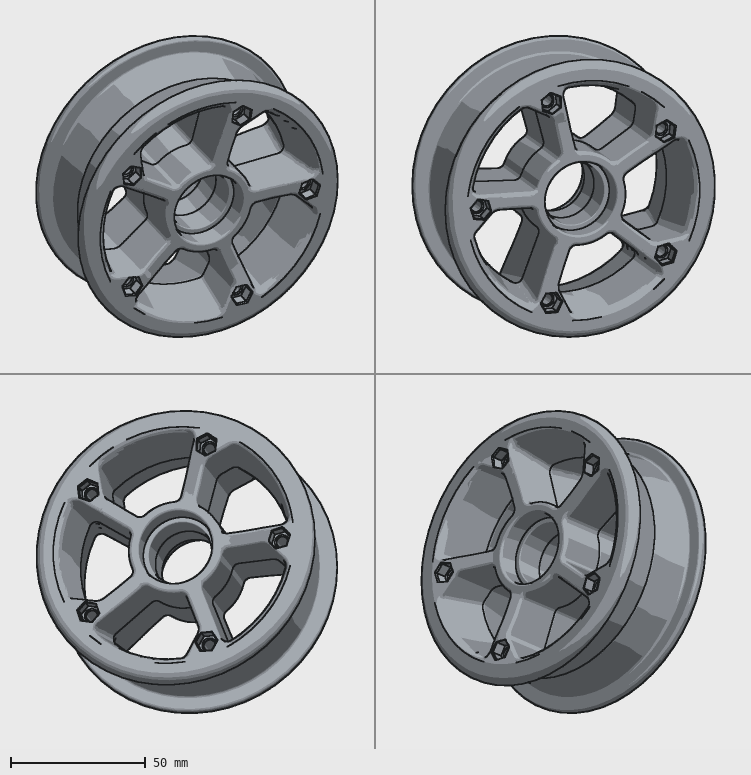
import cadquery as cq
import math


half_width = 21.78
outer_radius = 53.0
flange_thickness = 5.1
flange_outer_round = 3.4
flange_inner_round = 1.1
groove_edge_radius = 47.0
groove_mid_radius = 45.2
groove_root_fillet = 1.0
rim_face_inner_radius = 45.9
flare_radius = 3.4
flare_circle_radius = 46.7
flare_angle = 40.0
rim_wall_angle = 9.3
parting_fillet = 0.5

hub_radius = 18.0
hub_recess = 2.49
bore_diameter = 24.0
bearing_diameter = 28.0
bearing_depth = 8.2
bearing_mouth_round = 1.0
bore_edge_round = 0.4

spoke_count = 5
spoke_width = 6.4
spoke_lead_angle = 3.2
flank_angle = 45.0
boss_radius = 4.9
window_corner_radius = 2.6
flank_corner_radius = 4.2
web_edge_round = 1.5

bolt_circle_radius = 40.12
bolt_hole_diameter = 4.3
nut_flats = 7.0
nut_mouth_flats = 7.8
nut_pocket_depth = 5.3
nut_mouth_depth = 0.7
hole_edge_chamfer = 0.5
nut_lead_angle = 12.0

pitch_angle = 360.0 / spoke_count
hub_face = hub_recess - half_width
bearing_floor = hub_face + bearing_depth
clear = 1.1


def polar(radius, degrees):
    """Point at a radius and an angle around the wheel axis."""
    angle = math.radians(degrees)
    return (radius * math.cos(angle), radius * math.sin(angle))


def turned(points, degrees):
    """Points rotated around the wheel axis."""
    c, s = polar(1.0, degrees)
    return [(c * u - s * v, s * u + c * v) for u, v in points]


def line_crossing(p, p_dir, q, q_dir):
    """Point where two lines cross, each given by a point and a direction."""
    cross = p_dir[0] * q_dir[1] - p_dir[1] * q_dir[0]
    t = ((q[0] - p[0]) * q_dir[1] - (q[1] - p[1]) * q_dir[0]) / cross
    return (p[0] + t * p_dir[0], p[1] + t * p_dir[1])


def revolve_profile(sketch):
    """Turn a closed (x, radius) profile around the X axis."""
    return sketch.close().revolve(360, (0, 0, 0), (1, 0, 0))


def turned_blank():
    """Half wheel without windows: rim, dished web and hub in one turned profile."""
    outer_face = -half_width
    flange_back = outer_face + flange_thickness
    dish_mid = ((rim_face_inner_radius + hub_radius) / 2, outer_face + hub_recess / 2)
    run = rim_face_inner_radius - dish_mid[0]
    drop = hub_recess / 2
    arc_radius = (run**2 + drop**2) / (2 * drop)
    quarter = math.asin(run / arc_radius) / 2
    arc_run = arc_radius * math.sin(quarter)
    arc_drop = arc_radius * (1 - math.cos(quarter))
    sketch = (
        cq.Workplane("XY")
        .moveTo(0, 0)
        .lineTo(hub_face, 0)
        .lineTo(hub_face, hub_radius)
        .threePointArc((hub_face - arc_drop, hub_radius + arc_run), (dish_mid[1], dish_mid[0]))
        .threePointArc(
            (outer_face + arc_drop, rim_face_inner_radius - arc_run),
            (outer_face, rim_face_inner_radius),
        )
        .lineTo(outer_face, outer_radius - flange_outer_round)
        .tangentArcPoint((outer_face + flange_outer_round, outer_radius), relative=False)
        .lineTo(flange_back - flange_inner_round, outer_radius)
        .tangentArcPoint((flange_back, outer_radius - flange_inner_round), relative=False)
        .lineTo(flange_back, groove_edge_radius)
        .lineTo(0, groove_mid_radius)
    )
    blank = revolve_profile(sketch)
    root = cq.selectors.NearestToPointSelector((flange_back, 0, groove_edge_radius))
    return blank.faces(root).edges("<X").fillet(groove_root_fillet)


def rim_cavity():
    """Turned space inside the rim wall: a cone that flares out to the rim face."""
    centre_x = flare_radius - half_width
    wall = math.radians(rim_wall_angle)
    steepest = math.radians(flare_angle)

    def flare_point(angle):
        return (
            centre_x - flare_radius * math.sin(angle),
            flare_circle_radius - flare_radius * math.cos(angle),
        )

    start = flare_point(wall)
    end = flare_point(steepest)
    front_x = -half_width - clear
    sketch = (
        cq.Workplane("XY")
        .moveTo(0, 0)
        .lineTo(0, start[1] + start[0] * math.tan(wall))
        .lineTo(*start)
        .threePointArc(flare_point((wall + steepest) / 2), end)
        .lineTo(front_x, end[1] + (end[0] - front_x) * math.tan(steepest))
        .lineTo(front_x, 0)
    )
    return revolve_profile(sketch)


def window_plug():
    """Solid that fills one window, between the spoke of bolt 0 and the spoke of bolt 1."""
    half_spoke = spoke_width / 2
    far = outer_radius
    hub_reach = math.sqrt(hub_radius**2 - half_spoke**2)
    spoke_side = turned([(hub_reach, half_spoke), (far, half_spoke)], spoke_lead_angle)
    next_side = turned([(hub_reach, -half_spoke), (far, -half_spoke)], spoke_lead_angle)
    spoke_dir = polar(1.0, spoke_lead_angle)
    flank_dir = polar(1.0, -flank_angle)
    offset = polar(boss_radius, -flank_angle - 90)
    flank_foot = (bolt_circle_radius + offset[0], offset[1])
    elbow = line_crossing(next_side[0], spoke_dir, flank_foot, flank_dir)
    flank_end = (elbow[0] + far * flank_dir[0] / 2, elbow[1] + far * flank_dir[1] / 2)
    next_hub, next_elbow, next_end = turned([next_side[0], elbow, flank_end], pitch_angle)
    far_mid = polar(2 * far, pitch_angle / 2)
    hub_mid = polar(hub_radius, spoke_lead_angle + pitch_angle / 2)

    prism = (
        cq.Workplane("YZ", origin=(-half_width - clear, 0, 0))
        .moveTo(*spoke_side[0])
        .lineTo(*spoke_side[1])
        .lineTo(*far_mid)
        .lineTo(*next_end)
        .lineTo(*next_elbow)
        .lineTo(*next_hub)
        .threePointArc(hub_mid, spoke_side[0])
        .close()
        .extrude(half_width + clear)
    )

    def near(point):
        return cq.selectors.BoxSelector(
            (-2 * half_width, point[0] - clear, point[1] - clear),
            (half_width, point[0] + clear, point[1] + clear),
        )

    prism = prism.edges("|X").edges(near(spoke_side[0]) + near(next_hub)).fillet(window_corner_radius)
    prism = prism.edges("|X").edges(near(next_elbow)).fillet(flank_corner_radius)
    plug = prism.intersect(rim_cavity())
    cavity_corners = [
        edge
        for edge in plug.edges("not |X").vals()
        if abs(edge.startPoint().x - edge.endPoint().x) > 0.1
    ]
    return plug.newObject(cavity_corners).fillet(window_corner_radius)


def centre_radius(face):
    """Distance from the wheel axis to the centre of a face."""
    centre = face.Center()
    return math.hypot(centre.y, centre.z)


def cut_windows(blank):
    """Cut every window, then round its edges on the dished web and at the mating plane."""
    plug = window_plug()
    half = blank
    for index in range(spoke_count):
        half = half.cut(plug.rotate((0, 0, 0), (1, 0, 0), index * pitch_angle))

    web_edges = {}
    wall_keys = set()
    for face in half.faces().vals():
        if face.normalAt().x < -0.95:
            web_edges.update({edge.hashCode(): edge for edge in face.Edges()})
        elif hub_radius - clear < centre_radius(face) < rim_face_inner_radius:
            wall_keys.update(edge.hashCode() for edge in face.Edges())
    shared = [edge for key, edge in web_edges.items() if key in wall_keys]
    half = half.newObject(shared).fillet(web_edge_round)
    return half.faces(">X").edges().fillet(parting_fillet)


def bore_tool():
    """Turned space for the bearing, the lip behind it and the through bore."""
    bore = bore_diameter / 2
    bearing = bearing_diameter / 2
    sketch = (
        cq.Workplane("XY")
        .moveTo(clear, 0)
        .lineTo(clear, bore)
        .lineTo(bearing_floor + bore_edge_round, bore)
        .tangentArcPoint((bearing_floor, bore + bore_edge_round), relative=False)
        .lineTo(bearing_floor, bearing)
        .lineTo(hub_face + bearing_mouth_round, bearing)
        .tangentArcPoint((hub_face, bearing + bearing_mouth_round), relative=False)
        .lineTo(hub_face - clear, bearing + bearing_mouth_round)
        .lineTo(hub_face - clear, 0)
    )
    return revolve_profile(sketch)


def hexagon(x, flats):
    """Hexagon outline at a station on the wheel axis, centred on bolt 0."""
    corners = flats / math.cos(math.radians(30))
    return (
        cq.Workplane("YZ", origin=(x, bolt_circle_radius, 0))
        .transformed(rotate=(0, 0, nut_lead_angle))
        .polygon(6, corners)
    )


def bolt_tool():
    """Bolt hole with its nut pocket and edge chamfers, for bolt 0."""
    pocket_floor = nut_pocket_depth - half_width
    hole = bolt_hole_diameter / 2
    pocket = hexagon(-half_width - clear, nut_flats).extrude(nut_pocket_depth + clear)
    mouth_angle = math.degrees(math.atan((nut_mouth_flats - nut_flats) / 2 / nut_mouth_depth))
    mouth = hexagon(-half_width, nut_mouth_flats).extrude(nut_mouth_depth, taper=mouth_angle)
    shank = revolve_profile(
        cq.Workplane("XY")
        .moveTo(pocket_floor, 0)
        .lineTo(pocket_floor, hole + hole_edge_chamfer)
        .lineTo(pocket_floor + hole_edge_chamfer, hole)
        .lineTo(clear, hole)
        .lineTo(clear, 0)
    ).translate((0, bolt_circle_radius, 0))
    return pocket.union(mouth).union(shank)


def wheel_half():
    """The -X half of the wheel."""
    half = cut_windows(turned_blank()).cut(bore_tool())
    bolt = bolt_tool()
    for index in range(spoke_count):
        half = half.cut(bolt.rotate((0, 0, 0), (1, 0, 0), index * pitch_angle))
    return half


left_half = wheel_half()
right_half = left_half.mirror("YZ")

result = cq.Compound.makeCompound([left_half.val(), right_half.val()])